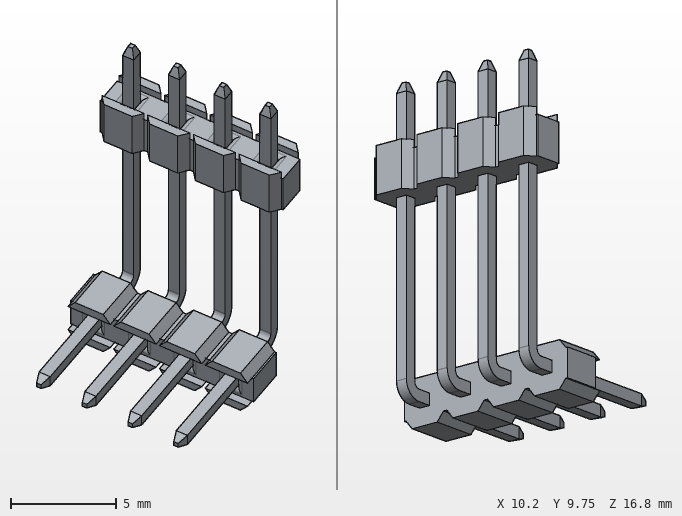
import cadquery as cq

pin_count = 4
row_length = 10.16
pitch = row_length / pin_count

pin_width = 0.62
pin_top = 15.55
pin_reach = 8.5
tip_length = 0.54
tip_width = 0.25
bend_inner_radius = 0.3

housing_depth = 2.49
bar_depth = 1.55
wing_length = 2.49
bar_length = 2.08
wing_base_width = 2.35
wing_top_width = 1.56
upper_housing_base = 9.8
lower_housing_base = 1.4

hole_rim_radius = 0.3

pin_positions = [(i - (pin_count - 1) / 2) * pitch for i in range(pin_count)]


def pin_tip(plane):
    """Square frustum narrowing along the plane normal."""
    return (
        cq.Workplane(plane)
        .rect(pin_width, pin_width)
        .workplane(offset=tip_length)
        .rect(tip_width, tip_width)
        .loft(ruled=True)
    )


def make_pin():
    """Right-angle pin centred on X = 0, with a tapered tip on both legs."""
    half = pin_width / 2
    bend_radius = bend_inner_radius + half
    leg_top = pin_top - tip_length
    leg_reach = pin_reach - tip_length
    path = (
        cq.Workplane("YZ")
        .moveTo(0, leg_top)
        .lineTo(0, bend_radius)
        .radiusArc((-bend_radius, 0), bend_radius)
        .lineTo(-leg_reach, 0)
    )
    pin = cq.Workplane("XY", origin=(0, 0, leg_top)).rect(pin_width, pin_width).sweep(path)
    top_plane = cq.Plane(origin=(0, 0, leg_top), xDir=(1, 0, 0), normal=(0, 0, 1))
    front_plane = cq.Plane(origin=(0, -leg_reach, 0), xDir=(1, 0, 0), normal=(0, -1, 0))
    for plane in (top_plane, front_plane):
        pin = pin.union(pin_tip(plane))
    return pin


def make_housing():
    """Housing standing on Z = 0 around vertical pins, with rounded hole rims in its top face."""
    housing = cq.Workplane("XY").rect(row_length, bar_depth).extrude(bar_length)
    for x in pin_positions:
        for side in (-1, 1):
            wing = (
                cq.Workplane("XY")
                .polyline([
                    (x - wing_base_width / 2, side * bar_depth / 2),
                    (x - wing_top_width / 2, side * housing_depth / 2),
                    (x + wing_top_width / 2, side * housing_depth / 2),
                    (x + wing_base_width / 2, side * bar_depth / 2),
                ])
                .close()
                .extrude(wing_length)
            )
            housing = housing.union(wing)
        hole = cq.Workplane("XY").center(x, 0).rect(pin_width, pin_width).extrude(bar_length)
        housing = housing.cut(hole)
    box_half_length = pin_positions[-1] + pin_width
    rim_edges = cq.selectors.BoxSelector(
        (-box_half_length, -pin_width, bar_length - hole_rim_radius),
        (box_half_length, pin_width, bar_length + hole_rim_radius),
    )
    housing = housing.edges(rim_edges).fillet(hole_rim_radius)
    return housing


housing = make_housing()
upper_housing = housing.translate((0, 0, upper_housing_base))
lower_housing = housing.rotate((0, 0, 0), (1, 0, 0), 90).translate((0, -lower_housing_base, 0))

result = upper_housing.union(lower_housing)
pin = make_pin()
for x in pin_positions:
    result = result.union(pin.translate((x, 0, 0)))